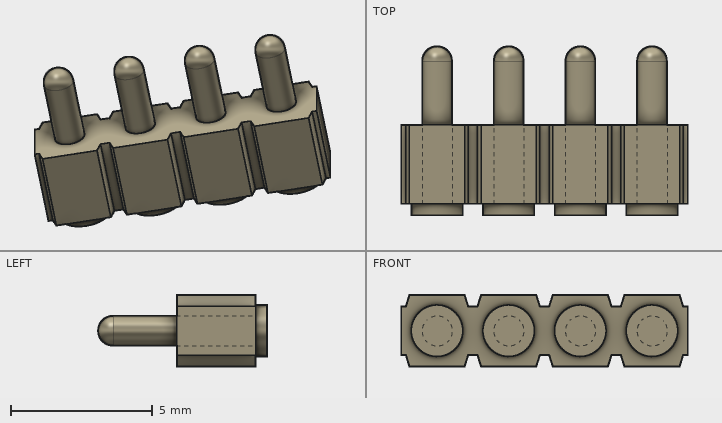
import cadquery as cq


pin_count = 4
pitch = 2.54

housing_length = pin_count * pitch
housing_depth = 2.79
housing_height = pitch

notch_depth = 0.41
notch_floor_width = 0.33
notch_mouth_width = 0.58

shaft_diameter = 1.07
head_diameter = 1.83
head_thickness = 0.41
pin_length = 5.99

shaft_radius = shaft_diameter / 2
head_radius = head_diameter / 2
tip_y = pin_length - head_thickness
dome_start_y = tip_y - shaft_radius
dome_middle = shaft_radius * 0.5 ** 0.5

pin_positions = [(i - (pin_count - 1) / 2) * pitch for i in range(pin_count)]
cell_boundaries = [(i - pin_count / 2) * pitch for i in range(pin_count + 1)]


def make_notch(x, side):
    """Tapered groove along Y, cut into the top (side = 1) or bottom (side = -1)."""
    mouth_z = side * housing_height / 2
    floor_z = side * (housing_height / 2 - notch_depth)
    return (
        cq.Workplane("XZ")
        .moveTo(x - notch_mouth_width / 2, mouth_z)
        .lineTo(x - notch_floor_width / 2, floor_z)
        .lineTo(x + notch_floor_width / 2, floor_z)
        .lineTo(x + notch_mouth_width / 2, mouth_z)
        .close()
        .extrude(-housing_depth)
    )


def make_housing():
    """Block with notched cell boundaries and one through hole per pin."""
    body = cq.Workplane("XY").box(
        housing_length, housing_depth, housing_height, centered=(True, False, True)
    )
    for x in cell_boundaries:
        for side in (1, -1):
            body = body.cut(make_notch(x, side))
    holes = (
        cq.Workplane("XZ")
        .pushPoints([(x, 0) for x in pin_positions])
        .circle(shaft_radius)
        .extrude(-housing_depth)
    )
    return body.cut(holes)


def make_pin(x):
    """Pin with a flat head against the housing front face and a hemispherical tip."""
    return (
        cq.Workplane("XY")
        .moveTo(0, -head_thickness)
        .lineTo(head_radius, -head_thickness)
        .lineTo(head_radius, 0)
        .lineTo(shaft_radius, 0)
        .lineTo(shaft_radius, dome_start_y)
        .threePointArc((dome_middle, dome_start_y + dome_middle), (0, tip_y))
        .close()
        .revolve(360, (0, 0, 0), (0, 1, 0))
        .translate((x, 0, 0))
    )


housing = make_housing()
pins = [make_pin(x) for x in pin_positions]

result = cq.Compound.makeCompound([housing.val(), *[pin.val() for pin in pins]])